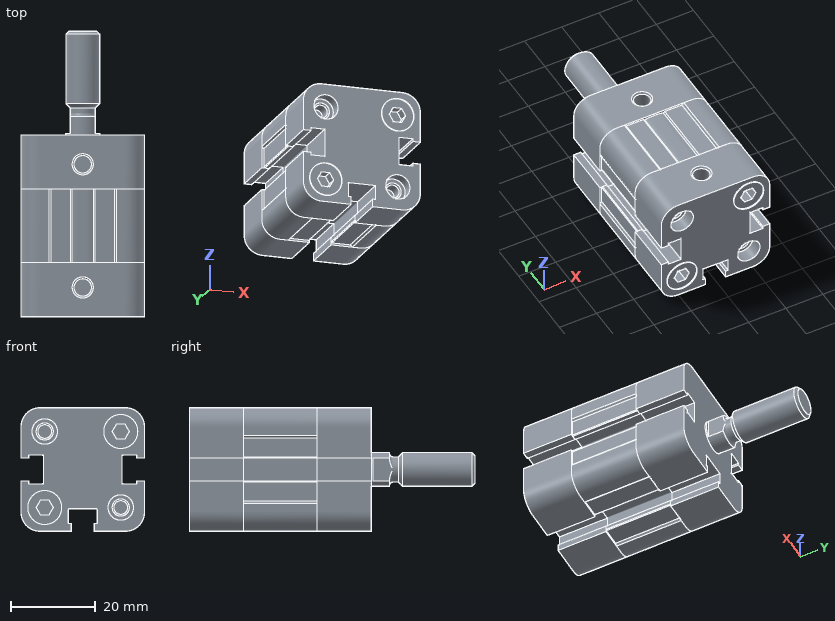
import cadquery as cq
import math

overall_length = 67.5
body_length = 43.0
cap_length = 12.8
barrel_length = body_length - 2 * cap_length
front_cap_start = body_length - cap_length

housing_width = 29.2
half_width = housing_width / 2
corner_radius = 4.5

mouth_width = 5.4
lip_depth = 1.9
slot_width = 6.75
slot_depth = 5.3
barrel_slot_radius = 0.3
barrel_mouth_bevel = 0.2
slot_angles = (90, 180, 270)

panel_width = 16.0
panel_depth = 0.505
panel_floor = half_width - panel_depth
panel_angles = (0, 90, 180, 270)

groove_width = 5.75
groove_floor_width = 5.0
groove_depth = 0.35
ridge_flat_width = 1.9
ridge_height = 0.305

bolt_offset = 9.0
head_diameter = 8.0
head_recess = 0.3
hex_flats = 3.5
hex_depth = 3.4
hex_corners = hex_flats / math.cos(math.pi / 6)
sleeve_diameter = 6.0
sleeve_depth = 3.45
thread_diameter = 3.25
thread_mouth_diameter = 4.05
thread_depth = 4.05

port_diameter = 4.1
port_mouth_diameter = 5.0
port_depth = 5.4
port_inset = 6.95

rod_diameter = 8.0
rod_radius = rod_diameter / 2
neck_radius = 6.0 / 2
stud_length = 17.15
stud_start = overall_length - stud_length
tip_chamfer = 0.75
shoulder_y = 47.3
shoulder_fillet = 0.75
flats_width = 6.0
flats_start = body_length + 0.35


def turn_about_y(shape, angle):
    return shape.rotate((0, 0, 0), (0, 1, 0), angle)


def extrude_along_y(outline, length):
    """Extrude a closed outline in the XZ plane toward +Y."""
    return outline.extrude(-length)


def section_plane(y, x=0, z=0):
    """XZ sketch plane at the given place."""
    return cq.Workplane("XZ", origin=(x, y, z))


def housing_block(start, length):
    """Square bar with rounded long edges."""
    section = section_plane(start).rect(housing_width, housing_width)
    return extrude_along_y(section, length).edges("|Y").fillet(corner_radius)


def upper_bar(width, bottom, top, start, length):
    """Rectangular bar along Y, centred on X, between two heights."""
    section = section_plane(start, z=(bottom + top) / 2).rect(width, top - bottom)
    return extrude_along_y(section, length)


def upper_trapezoid(top_width, floor_width, top, floor, start):
    """Trapezoid bar as long as the barrel, centred on X."""
    a = top_width / 2
    b = floor_width / 2
    outline = section_plane(start).polyline([(-a, top), (-b, floor), (b, floor), (a, top)]).close()
    return extrude_along_y(outline, barrel_length)


def t_slot(start, length):
    """T-slot cutter placed at the upper side."""
    bottom = half_width - slot_depth
    mouth = upper_bar(mouth_width, bottom, half_width, start, length)
    chamber = upper_bar(slot_width, bottom, half_width - lip_depth, start, length)
    return mouth.union(chamber)


def cut_on_sides(body, cutter, angles):
    """Cut a cutter made for the upper side into the sides at the given angles."""
    for angle in angles:
        body = body.cut(turn_about_y(cutter, angle))
    return body


def chamfered_hole(diameter, mouth_diameter, depth, mouth, direction):
    """Blind hole cutter with a 45 degree chamfer, starting at its mouth."""
    chamfer = (mouth_diameter - diameter) / 2
    hole = cq.Solid.makeCylinder(diameter / 2, depth, mouth, direction)
    cone = cq.Solid.makeCone(mouth_diameter / 2, diameter / 2, chamfer, mouth, direction)
    return cq.Workplane(hole).union(cq.Workplane(cone))


def make_cap(start, port_y):
    """Housing cap with its T-slots and its air port."""
    cap = housing_block(start, cap_length)
    cap = cut_on_sides(cap, t_slot(start, cap_length), slot_angles)
    port_mouth = cq.Vector(0, port_y, half_width)
    port = chamfered_hole(port_diameter, port_mouth_diameter, port_depth, port_mouth, cq.Vector(0, 0, -1))
    return cap.cut(port)


def bolt_head_recess(x, z):
    """Shallow round recess with a hexagon socket in its floor."""
    recess = extrude_along_y(section_plane(0, x, z).circle(head_diameter / 2), head_recess)
    socket = extrude_along_y(section_plane(0, x, z).polygon(6, hex_corners), hex_depth)
    return recess.union(socket)


def mounting_hole(x, z):
    """Counterbore with a chamfered thread hole in its floor."""
    sleeve = extrude_along_y(section_plane(0, x, z).circle(sleeve_diameter / 2), sleeve_depth)
    thread_mouth = cq.Vector(x, sleeve_depth, z)
    thread = chamfered_hole(thread_diameter, thread_mouth_diameter, thread_depth,
                            thread_mouth, cq.Vector(0, 1, 0))
    return sleeve.union(thread)


def make_rear_cap():
    cap = make_cap(0, port_inset)
    for offset in (-bolt_offset, bolt_offset):
        cap = cap.cut(bolt_head_recess(offset, offset))
        cap = cap.cut(mounting_hole(-offset, offset))
    return cap


def make_front_cap():
    cap = make_cap(front_cap_start, body_length - port_inset)
    rod_bore = extrude_along_y(section_plane(front_cap_start).circle(rod_radius), cap_length)
    return cap.cut(rod_bore)


def ridged_groove():
    """Groove cutter for the upper panel; arcs tangent to the ridge flat fall to the groove floor."""
    edge = groove_width / 2
    foot = groove_floor_width / 2
    crest = ridge_flat_width / 2
    floor = panel_floor - groove_depth
    crest_z = floor + ridge_height
    run = foot - crest
    arc_radius = (run ** 2 + ridge_height ** 2) / (2 * ridge_height)
    half_angle = math.asin(run / arc_radius) / 2
    mid_x = crest + arc_radius * math.sin(half_angle)
    mid_z = crest_z - arc_radius * (1 - math.cos(half_angle))
    outline = (section_plane(cap_length)
               .moveTo(-edge, panel_floor)
               .lineTo(-foot, floor)
               .threePointArc((-mid_x, mid_z), (-crest, crest_z))
               .lineTo(crest, crest_z)
               .threePointArc((mid_x, mid_z), (foot, floor))
               .lineTo(edge, panel_floor)
               .close())
    return extrude_along_y(outline, barrel_length)


def make_barrel():
    barrel = housing_block(cap_length, barrel_length)
    panel = upper_trapezoid(panel_width, panel_width - 2 * panel_depth, half_width, panel_floor, cap_length)
    barrel = cut_on_sides(barrel, panel, panel_angles)
    slot = t_slot(cap_length, barrel_length).edges("|Y and <Z").fillet(barrel_slot_radius)
    bevel = upper_trapezoid(mouth_width + 2 * barrel_mouth_bevel, mouth_width,
                            panel_floor, panel_floor - barrel_mouth_bevel, cap_length)
    barrel = cut_on_sides(barrel, slot.union(bevel), slot_angles)
    return barrel.cut(ridged_groove())


def make_rod():
    """Turned rod, seated in the front cap, with a flat on each X side."""
    stud_chamfer = rod_radius - neck_radius
    fillet_centre_x = neck_radius + shoulder_fillet
    fillet_centre_y = shoulder_y + shoulder_fillet
    fillet_reach = shoulder_fillet * math.cos(math.pi / 4)
    profile = (cq.Workplane("XY")
               .moveTo(0, front_cap_start)
               .lineTo(rod_radius, front_cap_start)
               .lineTo(rod_radius, shoulder_y)
               .lineTo(fillet_centre_x, shoulder_y)
               .threePointArc((fillet_centre_x - fillet_reach, fillet_centre_y - fillet_reach),
                              (neck_radius, fillet_centre_y))
               .lineTo(neck_radius, stud_start - stud_chamfer)
               .lineTo(rod_radius, stud_start)
               .lineTo(rod_radius, overall_length - tip_chamfer)
               .lineTo(rod_radius - tip_chamfer, overall_length)
               .lineTo(0, overall_length)
               .close())
    rod = profile.revolve(360, (0, 0, 0), (0, 1, 0))
    flats_length = fillet_centre_y - flats_start
    for side in (-1, 1):
        flat_x = side * (flats_width + rod_diameter) / 2
        section = section_plane(flats_start, x=flat_x).rect(rod_diameter, rod_diameter)
        rod = rod.cut(extrude_along_y(section, flats_length))
    return rod


rear_cap = make_rear_cap().solids()
barrel = make_barrel().solids()
front_cap = make_front_cap().solids()
rod = make_rod().solids()

result = cq.Compound.makeCompound([rear_cap.val(), barrel.val(), front_cap.val(), rod.val()])